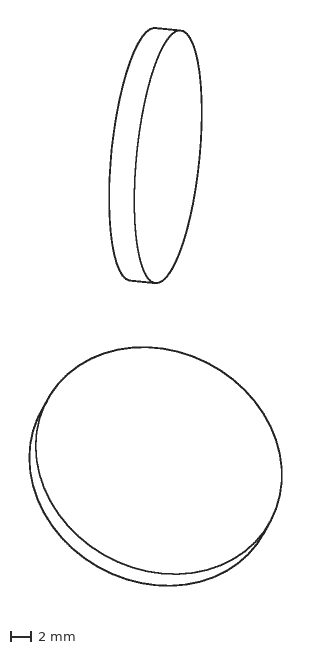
import cadquery as cq

diameter = 25.0
center_thickness = 4.35
edge_thickness = 2.58

radius = diameter / 2
dome_height = center_thickness - edge_thickness
dome_radius = (radius**2 + dome_height**2) / (2 * dome_height)

apex_x = -center_thickness
sphere_center_x = apex_x + dome_radius

blank = cq.Workplane("YZ").circle(radius).extrude(-center_thickness)
sphere = cq.Workplane("XY").sphere(dome_radius).translate((sphere_center_x, 0, 0))

result = blank.intersect(sphere)